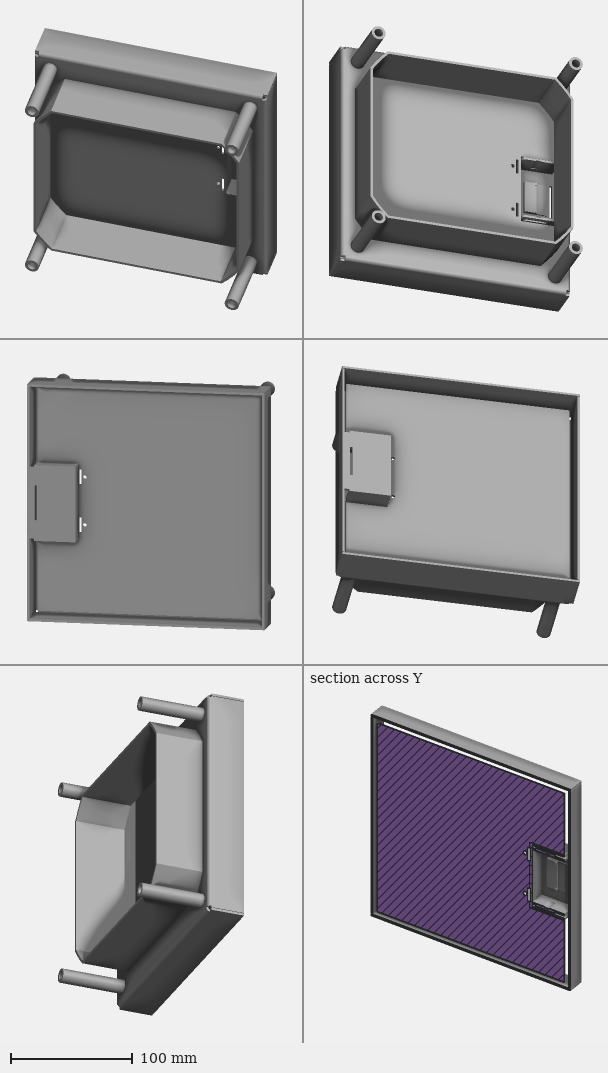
import cadquery as cq

SIZE = 199.0
HALF = SIZE / 2
TRAY_DEPTH = 32.0
SHEET = 2.0
BEND_RADIUS = 3.0
FLANGE_GAP = 0.4
RELIEF = 3.5
RELIEF_DEPTH = BEND_RADIUS + 0.2

FRAME_HALF_X = 88.0
FRAME_HALF_Z = 77.5
FRAME_CORNER_RADIUS = 106.5
FRAME_WALL = 2.2
FRAME_LENGTH = 41.0

STANDOFF_OFFSET = 85.5
STANDOFF_RADIUS = 6.0
STANDOFF_BORE_RADIUS = 3.5
STANDOFF_LENGTH = 55.0

PANEL_FRONT = 15.0
PANEL_HALF = 93.5
LATCH_OFFSET_Z = 20.0
LATCH_SLOT_LEFT = 56.7
LATCH_SLOT_HEIGHT = 12.7
LATCH_HOLE_X = 54.1
LATCH_HOLE_RADIUS = 1.5

RIM_LEFT = 59.0
RIM_HALF_Z = 31.8
RIM_SIDE_WALL = 2.4
RIM_END_WALL = 1.8
RIM_INNER_LEFT = RIM_LEFT + RIM_SIDE_WALL
RIM_INNER_HALF_Z = RIM_HALF_Z - RIM_END_WALL

BACK_FRONT = 29.7
SHELF_RIGHT = 93.1
SHELF_FRONT = 11.1
SHELF_INNER_Z = 25.9
SHELF_OUTER_Z = SHELF_INNER_Z + SHEET
SHELF_CORNER_RADIUS = 3.0
PAD_LEFT = 63.7
PAD_RIGHT = 84.4
PAD_THICKNESS = 1.2
GROOVE_X = 75.5
GROOVE_BACK = 25.0
GROOVE_RADIUS = 7.8
GROOVE_DEPTH = 0.5
BACK_SLOT_LEFT = 91.0
BACK_SLOT_RIGHT = 93.1
BACK_SLOT_HALF_Z = 14.7

CONNECTOR_HALF_Z = 14.0
CONNECTOR_LEFT = 68.3
CONNECTOR_STEP = 78.6
CONNECTOR_SHOULDER = 85.2
CONNECTOR_RIGHT = 88.5
CONNECTOR_TALL_FRONT = 26.7
CONNECTOR_MIDDLE_FRONT = 28.5
CONNECTOR_LOW_FRONT = 29.0
LUG_LEFT = 77.2
LUG_HEIGHT = 2.4
LUG_FRONT = 25.7


def block(x_range, y_range, z_range):
    """Box between two limits along each axis."""
    (x0, x1), (y0, y1), (z0, z1) = x_range, y_range, z_range
    return cq.Workplane("XY").box(x1 - x0, y1 - y0, z1 - z0, centered=False).translate((x0, y0, z0))


def mirrored(body):
    """Add the mirror image of a body across the plane Z = 0."""
    return body.union(body.mirror("XY"))


def rod(x, z, radius, y_start, y_end):
    """Cylinder along Y."""
    return cq.Workplane("XZ", origin=(x, y_start, z)).circle(radius).extrude(y_start - y_end)


def bent_channel(bend_axis, half_x, half_z):
    """Web at Y = 0 with two flanges joined by round bends, which run along the bend axis ("X" or "Z")."""
    bends = f"|{bend_axis} and <Y"
    inside_x = half_x - SHEET if bend_axis == "Z" else half_x
    inside_z = half_z - SHEET if bend_axis == "X" else half_z
    outer = block((-half_x, half_x), (0, TRAY_DEPTH), (-half_z, half_z))
    inner = block((-inside_x, inside_x), (SHEET, TRAY_DEPTH), (-inside_z, inside_z))
    return outer.edges(bends).fillet(BEND_RADIUS).cut(inner.edges(bends).fillet(BEND_RADIUS - SHEET))


def frame_outline(inset, y_start, y_end):
    """Prism of the frame's outline, moved inwards by an inset."""
    rectangle = block(
        (-FRAME_HALF_X + inset, FRAME_HALF_X - inset),
        (y_start, y_end),
        (-FRAME_HALF_Z + inset, FRAME_HALF_Z - inset),
    )
    return rectangle.intersect(rod(0, 0, FRAME_CORNER_RADIUS - inset, y_start, y_end))


def make_tray():
    relief_y = (0, RELIEF_DEPTH)
    full = (-HALF, HALF)
    end_flanges = bent_channel("X", HALF, HALF)
    side_flanges = bent_channel("Z", HALF, HALF - SHEET - FLANGE_GAP)
    for edge in ((-HALF, -HALF + RELIEF), (HALF - RELIEF, HALF)):
        end_flanges = end_flanges.cut(block(edge, relief_y, full))
        side_flanges = side_flanges.cut(block(full, relief_y, edge))
    return end_flanges.union(side_flanges).cut(frame_outline(FRAME_WALL, 0, SHEET))


def make_frame():
    return frame_outline(0, -FRAME_LENGTH, 0).cut(frame_outline(FRAME_WALL, -FRAME_LENGTH, 0))


def make_standoff(x, z):
    post = rod(x, z, STANDOFF_RADIUS, -STANDOFF_LENGTH, 0)
    return post.cut(rod(x, z, STANDOFF_BORE_RADIUS, -STANDOFF_LENGTH, 0))


def make_panel():
    y_range = (PANEL_FRONT, PANEL_FRONT + SHEET)
    panel = block((-PANEL_HALF, PANEL_HALF), y_range, (-PANEL_HALF, PANEL_HALF))
    panel = panel.cut(block((RIM_LEFT, PANEL_HALF), y_range, (-RIM_HALF_Z, RIM_HALF_Z)))
    for z in (-LATCH_OFFSET_Z, LATCH_OFFSET_Z):
        slot_z = (z - LATCH_SLOT_HEIGHT / 2, z + LATCH_SLOT_HEIGHT / 2)
        panel = panel.cut(block((LATCH_SLOT_LEFT, RIM_LEFT), y_range, slot_z))
        panel = panel.cut(rod(LATCH_HOLE_X, z, LATCH_HOLE_RADIUS, *y_range))
    return panel


def make_rim():
    y_range = (PANEL_FRONT, TRAY_DEPTH)
    outer = block((RIM_LEFT, PANEL_HALF), y_range, (-RIM_HALF_Z, RIM_HALF_Z))
    return outer.cut(block((RIM_INNER_LEFT, PANEL_HALF), y_range, (-RIM_INNER_HALF_Z, RIM_INNER_HALF_Z)))


def make_bracket():
    back_y = (BACK_FRONT, TRAY_DEPTH)
    back = block((RIM_INNER_LEFT, HALF - SHEET), back_y, (-RIM_INNER_HALF_Z, RIM_INNER_HALF_Z))
    back = back.cut(block((BACK_SLOT_LEFT, BACK_SLOT_RIGHT), back_y, (-BACK_SLOT_HALF_Z, BACK_SLOT_HALF_Z)))
    shelf = block((RIM_INNER_LEFT, SHELF_RIGHT), (SHELF_FRONT, BACK_FRONT), (SHELF_INNER_Z, SHELF_OUTER_Z))
    shelf = shelf.edges("|Z and <Y").fillet(SHELF_CORNER_RADIUS)
    groove_axis_z = SHELF_INNER_Z + GROOVE_DEPTH - GROOVE_RADIUS
    shelf = shelf.cut(rod(GROOVE_X, groove_axis_z, GROOVE_RADIUS, SHELF_FRONT, GROOVE_BACK))
    pad_z = (SHELF_OUTER_Z, SHELF_OUTER_Z + PAD_THICKNESS)
    pad = block((PAD_LEFT, PAD_RIGHT), (PANEL_FRONT, BACK_FRONT), pad_z)
    pad = pad.edges("|Z and <Y").fillet(SHELF_CORNER_RADIUS)
    return back.union(mirrored(shelf.union(pad)))


def make_connector():
    z_range = (-CONNECTOR_HALF_Z, CONNECTOR_HALF_Z)
    connector = block((CONNECTOR_LEFT, CONNECTOR_STEP), (CONNECTOR_TALL_FRONT, BACK_FRONT), z_range)
    connector = connector.union(
        block((CONNECTOR_STEP, CONNECTOR_SHOULDER), (CONNECTOR_MIDDLE_FRONT, BACK_FRONT), z_range)
    )
    connector = connector.union(
        block((CONNECTOR_SHOULDER, CONNECTOR_RIGHT), (CONNECTOR_LOW_FRONT, BACK_FRONT), z_range)
    )
    lug = block(
        (LUG_LEFT, CONNECTOR_STEP),
        (LUG_FRONT, CONNECTOR_TALL_FRONT),
        (CONNECTOR_HALF_Z - LUG_HEIGHT, CONNECTOR_HALF_Z),
    )
    return connector.union(mirrored(lug))


tray = make_tray()
frame = make_frame()
panel = make_panel()
rim = make_rim()
bracket = make_bracket()
connector = make_connector()

standoffs = []
for x in (-STANDOFF_OFFSET, STANDOFF_OFFSET):
    for z in (-STANDOFF_OFFSET, STANDOFF_OFFSET):
        standoffs.append(make_standoff(x, z).val())

result = cq.Compound.makeCompound(
    [tray.val(), frame.val(), panel.val(), rim.val(), bracket.val(), connector.val(), *standoffs]
)